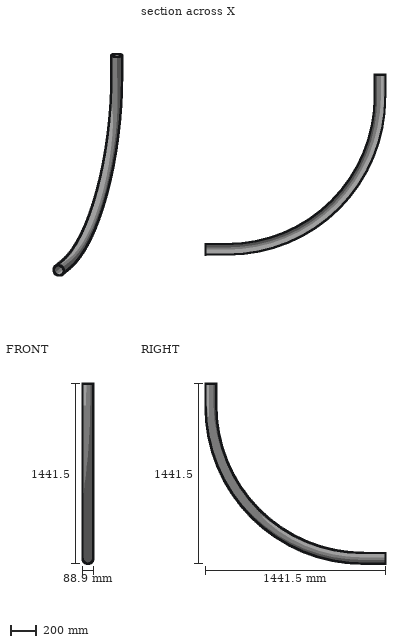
import cadquery as cq

outer_diameter = 88.9
inner_diameter = 82.8
bend_radius = 1219.2
bend_angle = 90.0
straight_length = 177.8

lower_joint = (0, 0, -bend_radius)
upper_joint = (0, -bend_radius, 0)


def pipe_section(plane):
    """Ring-shaped pipe cross-section at the origin of the given plane."""
    return cq.Workplane(plane).circle(outer_diameter / 2).circle(inner_diameter / 2)


def straight_pipe(joint, direction):
    """Straight length running from a bend joint along the given direction."""
    plane = cq.Plane(origin=joint, xDir=(1, 0, 0), normal=direction)
    return pipe_section(plane).extrude(straight_length)


def bent_pipe():
    """Quarter-circle bend from the lower joint round to the upper joint."""
    plane = cq.Plane(origin=lower_joint, xDir=(1, 0, 0), normal=(0, -1, 0))
    axis_start = plane.toLocalCoords(cq.Vector(0, 0, 0))
    axis_end = plane.toLocalCoords(cq.Vector(-1, 0, 0))
    return pipe_section(plane).revolve(bend_angle, axis_start.toTuple(), axis_end.toTuple())


lower_leg = straight_pipe(lower_joint, (0, 1, 0))
upper_leg = straight_pipe(upper_joint, (0, 0, 1))

result = bent_pipe().union(lower_leg).union(upper_leg)